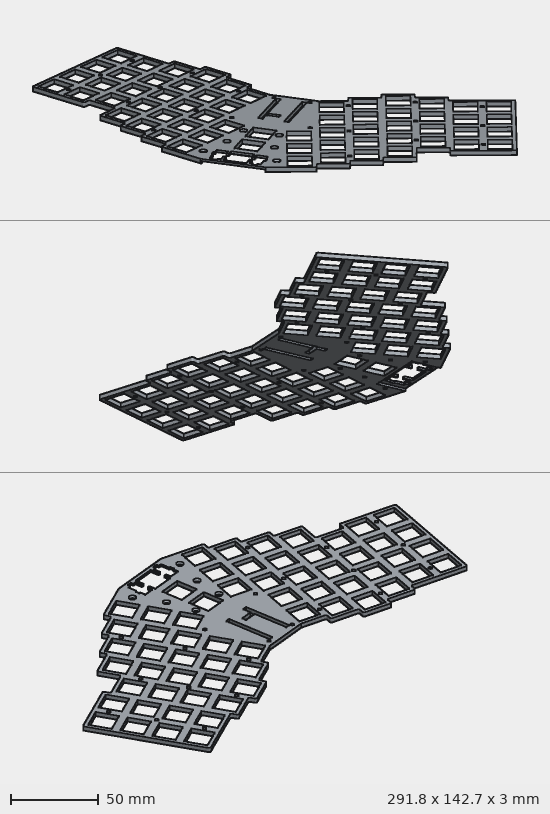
import cadquery as cq
import math

plate_length = 291.8
plate_depth = 142.7
plate_thickness = 3.0
front_y = -plate_depth / 2
back_y = 33.3
corner_radius = 1.0

bank_tilt = 20.0
bank_width = 133.3
column_rows = [(0, 4), (0, 4), (0, 4), (0, 5), (0, 5), (0, 5), (2, 5)]
column_stagger = [0, 0, 1, 2, 1, 0, -1]
column_count = len(column_rows)
pitch = bank_width / column_count
key_opening = 14.0

screw_diameter = 2.2
bank_screws = [
    (0, [0, 1.5, 3]),
    (2, [0, 1.5, 3]),
    (4, [0, 2, 4]),
]
center_screws = [(10.8, 29.8), (23.5, -6.5)]
countersunk_screws = [(10.8, -22.8), (14.3, -41.0), (22.2, -59.5)]
countersink_diameter = 4.5
countersink_angle = 90.0

slot_width = 2.77
slot_center_x = 8.0
slot_back_y = 29.0
slot_front_y = -2.2
branch_end_x = 1.5
branch_center_y = 4.7

center_key_count = 3
front_key_y = front_y + pitch / 2
stabilizer_x = 12.0
stabilizer_width = 6.7
stabilizer_height = 12.3
stabilizer_y = front_y + 9.5
side_notch_reach = 1.0
side_notch_height = 2.77
side_notch_y = front_y + 10.8
front_notch_width = 3.0
front_notch_reach = 1.8
link_height = 4.0
link_y = front_y + 10.2

recess_depth = 1.5
recess_width = 38.5
recess_length = pitch

tilt_cos = math.cos(math.radians(bank_tilt))
tilt_sin = math.sin(math.radians(bank_tilt))
corner_span = column_rows[0][1] * pitch - 2 * corner_radius
tip_x = corner_radius - plate_length / 2 + tilt_sin * corner_span
tip_y = plate_depth / 2 - corner_radius
bank_left = tilt_cos * tip_x - tilt_sin * tip_y - corner_radius
bank_back = tilt_sin * tip_x + tilt_cos * tip_y + corner_radius


def tilted(across, along):
    """Plate position of a point given along the left bank's own axes."""
    return (
        across * tilt_cos + along * tilt_sin,
        along * tilt_cos - across * tilt_sin,
    )


def column_center(column):
    return bank_left + (column + 0.5) * pitch


def row_edge(column, row):
    """Back edge of a cell; rows count from the back."""
    return bank_back + (column_stagger[column] / 4 - row) * pitch


def block(width, depth, x, y, height=plate_thickness):
    return cq.Workplane("XY").box(width, depth, height, centered=(True, True, False)).translate((x, y, 0))


def tilted_block(width, depth, across, along):
    return block(width, depth, across, along).rotate((0, 0, 0), (0, 0, 1), -bank_tilt)


def both_sides(body):
    return body.union(body.mirror("YZ"))


def edge_crossing(along, y):
    """X where a tilted bank edge reaches a given Y."""
    across = (along * tilt_cos - y) / tilt_sin
    return tilted(across, along)[0]


def bank_body():
    bank = cq.Workplane("XY")
    for column, (first, end) in enumerate(column_rows):
        back = row_edge(column, first)
        front = row_edge(column, end)
        bank.add(tilted_block(pitch, back - front, column_center(column), (back + front) / 2))
    return bank.combine(clean=True).edges("|Z").fillet(corner_radius)


def make_blank():
    last = column_count - 1
    inner_side = bank_left + bank_width
    bank_front = row_edge(last, column_rows[last][1])
    left_points = [
        (edge_crossing(row_edge(last - 1, 0), back_y), back_y),
        tilted(inner_side - pitch, row_edge(last, column_rows[last][0])),
        tilted(inner_side - pitch / 2, bank_front),
        (edge_crossing(bank_front, front_y), front_y),
    ]
    right_points = [(-x, y) for x, y in reversed(left_points)]
    center = cq.Workplane("XY").polyline(left_points + right_points).close().extrude(plate_thickness)
    return center.union(both_sides(bank_body())).clean()


def bank_key_openings():
    openings = cq.Workplane("XY")
    for column, (first, end) in enumerate(column_rows):
        for row in range(first, end):
            along = row_edge(column, row + 0.5)
            openings.add(tilted_block(key_opening, key_opening, column_center(column), along))
    return both_sides(openings.combine())


def center_openings():
    openings = block(key_opening, key_opening, 0, front_key_y)
    for key in range(1, center_key_count):
        openings = openings.union(block(key_opening, key_opening, 0, front_key_y + key * pitch))
    return openings


def stabilizer_openings():
    outer_x = stabilizer_x + stabilizer_width / 2
    notch_front_y = stabilizer_y - stabilizer_height / 2
    pocket = block(stabilizer_width, stabilizer_height, stabilizer_x, stabilizer_y)
    side_notch = block(2 * side_notch_reach, side_notch_height, outer_x, side_notch_y)
    front_notch = block(front_notch_width, 2 * front_notch_reach, stabilizer_x, notch_front_y)
    link = block(2 * stabilizer_x, link_height, 0, link_y)
    return both_sides(pocket.union(side_notch).union(front_notch)).union(link)


def controller_slots():
    slot_length = slot_back_y - slot_front_y
    slot = block(slot_width, slot_length, slot_center_x, (slot_back_y + slot_front_y) / 2)
    branch_length = branch_end_x + slot_center_x
    branch = block(branch_length, slot_width, branch_end_x - branch_length / 2, branch_center_y)
    return both_sides(slot).union(branch)


def front_recess():
    return block(recess_width, recess_length, 0, front_y + recess_length / 2, recess_depth)


def plain_screw_points():
    points = list(center_screws)
    for column, rows in bank_screws:
        across = column_center(column) + pitch / 2
        for row in rows:
            along = (row_edge(column, row + 0.5) + row_edge(column + 1, row + 0.5)) / 2
            points.append(tilted(across, along))
    return points + [(-x, y) for x, y in points]


plate = make_blank()
for cutter in (
    bank_key_openings(),
    center_openings(),
    stabilizer_openings(),
    controller_slots(),
    front_recess(),
):
    plate = plate.cut(cutter)

top_plane = cq.Workplane("XY", origin=(0, 0, plate_thickness))
plain_drills = top_plane.pushPoints(plain_screw_points()).circle(screw_diameter / 2).extrude(-plate_thickness)
plate = plate.cut(plain_drills)

countersunk_points = countersunk_screws + [(-x, y) for x, y in countersunk_screws]
result = (
    plate.faces(">Z")
    .workplane(origin=(0, 0, plate_thickness))
    .pushPoints(countersunk_points)
    .cskHole(screw_diameter, countersink_diameter, countersink_angle)
)